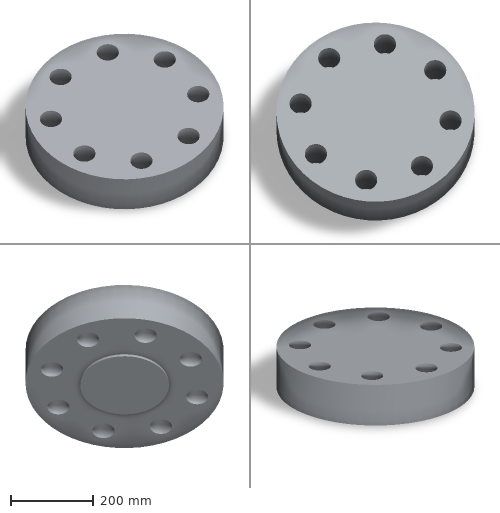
import cadquery as cq

flange_diameter = 482.5
overall_height = 114.5
raised_face_diameter = 216.0
raised_face_height = 6.8
flange_thickness = overall_height - raised_face_height

bolt_hole_count = 8
bolt_hole_diameter = 54.0
bolt_circle_diameter = 368.0


def flange_body():
    """Disc standing on Z = 0, with the raised face hanging below it."""
    disc = cq.Workplane("XY").circle(flange_diameter / 2).extrude(flange_thickness)
    raised_face = cq.Workplane("XY").circle(raised_face_diameter / 2).extrude(-raised_face_height)
    return disc.union(raised_face)


def bolt_holes():
    """Ring of evenly spaced holes through the disc, the first on the +X axis."""
    return (
        cq.Workplane("XY")
        .polarArray(bolt_circle_diameter / 2, 0, 360, bolt_hole_count)
        .circle(bolt_hole_diameter / 2)
        .extrude(flange_thickness)
    )


result = flange_body().cut(bolt_holes())